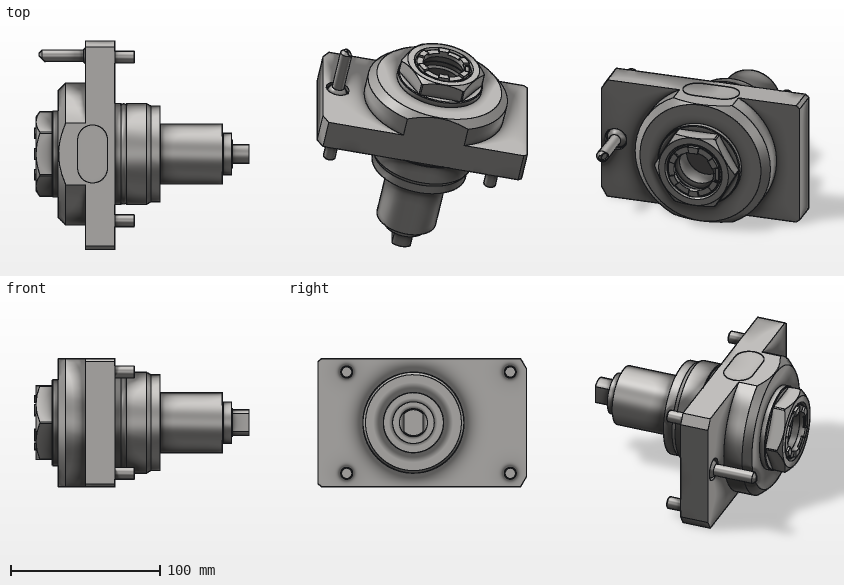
import cadquery as cq
import math


cover_front = 16.0
plate_front = 34.3
plate_back = 54.0
boss_end = 84.3
neck_end = 126.2

plate_top_y = 76.0
plate_bottom_y = -64.1
plate_height = 86.0
top_corner_y = 4.0
top_corner_z = 6.8
bottom_corner_y = 2.5
bottom_corner_z = 2.0

cover_diameter = 95.5
cover_chamfer = 5.0

boss_diameter = 68.0
seal_groove_diameter = 65.5
seal_crown_diameter = 67.5
seal_start = 58.1
seal_end = 61.8
boss_taper_start = 75.1
boss_taper_end = 78.1
boss_tail_diameter = 64.4

neck_diameter = 40.5
neck_relief_diameter = 40.2
neck_relief_length = 0.5

pin_diameter = 8.0
pin_length = 13.3
pin_chamfer = 0.6
pin_rows_y = (65.0, -44.8)
pin_offset_z = 34.0

nozzle_y = 65.9
nozzle_diameter = 7.9
nozzle_tip = 3.0
nozzle_tip_chamfer = 2.2
ball_diameter = 14.0
ball_center = 38.6
socket_diameter = 15.4
socket_depth = 2.9
outlet_diameter = 5.0
outlet_depth = 1.6

label_width = 20.0
label_length = 38.9
label_depth = 0.3
label_x = 39.0

nut_front = 1.0
flange_front = 12.0
nut_sides = 6
nut_across_flats = 49.7
nut_corner_diameter = 56.8
nut_face_diameter = 49.3
nut_chamfer_length = 2.6
flange_diameter = 58.0
flange_chamfer = 0.6

mouth_diameter = 40.5
mouth_floor_diameter = 38.3
mouth_end = 2.5
lip_front = 1.6
lip_back = 4.3
lip_outer_diameter = 36.5
tool_bore_diameter = 28.0
undercut_end = 10.8
seat_diameter = 35.2
seat_end = 13.7
tool_bore_end = 28.8
lug_count = 6
lug_angle = 24.0
notch_inner_radius = 15.0
notch_outer_radius = 17.6
notch_width = 9.2
notch_depth = 1.5

core_diameter = 38.3
shaft_diameter = 23.9
collar_diameter = 28.0
collar_start = 126.8
collar_end = 132.3
tang_shoulder_diameter = 18.9
tang_start = 133.0
tang_diameter = 17.5
tang_thickness = 12.5
spindle_end = 144.1


def cylinder(x_start, x_end, diameter):
    """Cylinder along X, centred on the X axis."""
    return cq.Workplane("YZ", origin=(x_start, 0, 0)).circle(diameter / 2).extrude(x_end - x_start)


def revolve_about_x(profile):
    """Turn a closed XY profile about the X axis."""
    return profile.close().revolve(360, (0, 0, 0), (1, 0, 0))


def make_plate():
    half_height = plate_height / 2
    upper_half = [
        (plate_bottom_y, 0),
        (plate_bottom_y, half_height - bottom_corner_z),
        (plate_bottom_y + bottom_corner_y, half_height),
        (plate_top_y - top_corner_y, half_height),
        (plate_top_y, half_height - top_corner_z),
        (plate_top_y, 0),
    ]
    half = cq.Workplane("YZ", origin=(plate_front, 0, 0)).polyline(upper_half).close()
    half = half.extrude(plate_back - plate_front)
    return half.union(half.mirror("XY"))


def make_cover():
    cover = cylinder(cover_front, plate_front, cover_diameter).faces("<X").chamfer(cover_chamfer)
    slab = cq.Workplane("XY").box(2 * plate_front, 2 * cover_diameter, plate_height)
    return cover.intersect(slab)


def make_boss():
    radius = boss_diameter / 2
    groove_radius = seal_groove_diameter / 2
    tail_radius = boss_tail_diameter / 2
    seal_middle = (seal_start + seal_end) / 2
    profile = (
        cq.Workplane("XY")
        .moveTo(plate_back, 0)
        .lineTo(plate_back, radius)
        .lineTo(seal_start, radius)
        .lineTo(seal_start, groove_radius)
        .threePointArc((seal_middle, seal_crown_diameter / 2), (seal_end, groove_radius))
        .lineTo(seal_end, radius)
        .lineTo(boss_taper_start, radius)
        .lineTo(boss_taper_end, tail_radius)
        .lineTo(boss_end, tail_radius)
        .lineTo(boss_end, 0)
    )
    return revolve_about_x(profile)


def make_neck():
    relief_end = boss_end + neck_relief_length
    relief = cylinder(boss_end, relief_end, neck_relief_diameter)
    return relief.union(cylinder(relief_end, neck_end, neck_diameter))


def make_dowel_pins():
    places = [(y, z) for y in pin_rows_y for z in (-pin_offset_z, pin_offset_z)]
    pins = cq.Workplane("YZ", origin=(plate_back, 0, 0)).pushPoints(places)
    return pins.circle(pin_diameter / 2).extrude(pin_length).faces(">X").chamfer(pin_chamfer)


def make_nozzle():
    """Ball and tube along X, cut at 45 degrees on one side of the tip for a slanted outlet."""
    radius = nozzle_diameter / 2
    tube = cylinder(nozzle_tip, ball_center, nozzle_diameter).faces("<X").chamfer(nozzle_tip_chamfer)
    slant = (
        cq.Workplane("XY")
        .polyline([(nozzle_tip, 0), (nozzle_tip, -2 * radius), (nozzle_tip + 2 * radius, -2 * radius)])
        .close()
        .extrude(nozzle_diameter, both=True)
    )
    outlet_center = cq.Vector(nozzle_tip + radius / 2, -radius / 2, 0)
    outlet = cq.Solid.makeCylinder(outlet_diameter / 2, outlet_depth, outlet_center, cq.Vector(1, 1, 0))
    ball = cq.Workplane("XY").sphere(ball_diameter / 2).translate((ball_center, 0, 0))
    return tube.cut(slant).cut(outlet).union(ball).translate((0, nozzle_y, 0))


def make_nozzle_socket():
    socket = cylinder(plate_front, plate_front + socket_depth, socket_diameter)
    return socket.translate((0, nozzle_y, 0))


def make_label_recess():
    recess = cq.Workplane("XY", origin=(label_x, 0, plate_height / 2 - label_depth))
    return recess.slot2D(label_length, label_width, 90).extrude(label_depth)


def make_spindle_core():
    """Hidden part of the spindle, which also shapes the bore of the housing."""
    return cylinder(cover_front, plate_front, core_diameter).union(
        cylinder(plate_front, collar_start, shaft_diameter)
    )


def make_housing():
    housing = make_plate().cut(make_nozzle_socket()).union(make_cover())
    housing = housing.union(make_boss()).union(make_neck())
    housing = housing.union(make_dowel_pins()).union(make_nozzle())
    return housing.cut(make_label_recess()).cut(make_spindle_core())


def make_nut():
    across_corners = nut_across_flats / math.cos(math.pi / nut_sides)
    hexagon = cq.Workplane("YZ", origin=(nut_front, 0, 0)).polygon(nut_sides, across_corners)
    hexagon = hexagon.extrude(flange_front - nut_front)
    corner_radius = nut_corner_diameter / 2
    envelope = (
        cq.Workplane("XY")
        .moveTo(nut_front, 0)
        .lineTo(nut_front, nut_face_diameter / 2)
        .lineTo(nut_front + nut_chamfer_length, corner_radius)
        .lineTo(flange_front, corner_radius)
        .lineTo(flange_front, 0)
    )
    flange = cylinder(flange_front, cover_front, flange_diameter).faces("<X").chamfer(flange_chamfer)
    return hexagon.intersect(revolve_about_x(envelope)).union(flange)


def make_socket_cavity():
    """Space inside the nut, from the mouth to the bottom of the tool bore."""
    mouth = revolve_about_x(
        cq.Workplane("XY")
        .moveTo(nut_front, 0)
        .lineTo(nut_front, mouth_diameter / 2)
        .lineTo(mouth_end, mouth_floor_diameter / 2)
        .lineTo(mouth_end, 0)
    )
    tool_bore = cylinder(nut_front, tool_bore_end, tool_bore_diameter)
    undercut = cylinder(lip_back, undercut_end, lip_outer_diameter)
    seat = cylinder(undercut_end, seat_end, seat_diameter)
    return mouth.union(tool_bore).union(undercut).union(seat)


def make_lip():
    """Ring in the mouth of the socket, with a small notch on its -Y side."""
    lip = cylinder(lip_front, lip_back, lip_outer_diameter)
    lip = lip.cut(cylinder(lip_front, lip_back, tool_bore_diameter))
    notch_middle = (notch_inner_radius + notch_outer_radius) / 2
    notch = cq.Workplane("YZ", origin=(lip_front, -notch_middle, 0))
    notch = notch.rect(notch_outer_radius - notch_inner_radius, notch_width).extrude(notch_depth)
    return lip.cut(notch)


def make_lugs():
    """Bayonet lugs standing on the lip, evenly spaced about X."""
    ring = cylinder(0, lip_front, lip_outer_diameter).cut(cylinder(0, lip_front, tool_bore_diameter))
    pitch = 360 / lug_count
    reach = lip_outer_diameter
    side = reach * math.tan(math.radians(lug_angle / 2))
    wedge = cq.Workplane("YZ").polyline([(0, 0), (reach, -side), (reach, side)]).close().extrude(lip_front)
    lugs = cq.Workplane("YZ")
    for index in range(lug_count):
        angle = (index + 0.5) * pitch
        lugs = lugs.union(ring.intersect(wedge.rotate((0, 0, 0), (1, 0, 0), angle)))
    return lugs


def make_drive_end():
    collar = cylinder(collar_start, collar_end, collar_diameter)
    shoulder = cylinder(collar_end, tang_start, tang_shoulder_diameter)
    tang = cylinder(tang_start, spindle_end, tang_diameter)
    flats = cq.Workplane("XY").box(2 * spindle_end, tang_thickness, 2 * tang_diameter)
    return collar.union(shoulder).union(tang.intersect(flats))


def make_spindle():
    spindle = make_nut().union(make_spindle_core()).union(make_drive_end())
    return spindle.cut(make_socket_cavity()).union(make_lip()).union(make_lugs())


housing = make_housing()
spindle = make_spindle()
result = cq.Compound.makeCompound([housing.solids().val(), spindle.solids().val()])